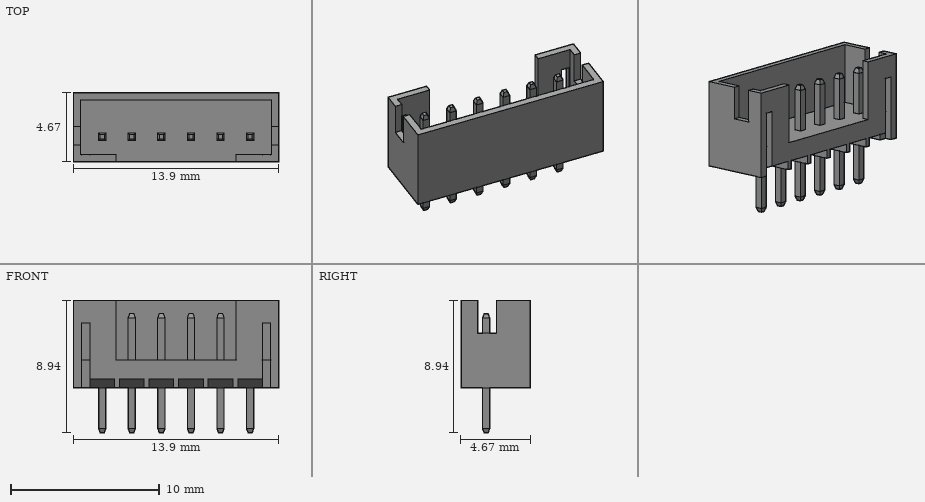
import cadquery as cq


length = 13.86
depth = 4.67
height = 5.89
wall = 0.49
floor_top = 1.87

window_margin = 2.88
side_gap_front = 1.14
side_gap_width = 1.25
side_gap_bottom = 3.69

groove_inset = 0.55
groove_top = 4.38

relief_width = 1.66
relief_height = 0.58

pin_count = 6
pitch = 2.0
pin_y = 1.69
pin_size = 0.5
tip_size = 0.28
tip_length = 0.3
pin_top = 5.0
pin_bottom = -3.05

pin_positions = [length / 2 + (i - (pin_count - 1) / 2) * pitch for i in range(pin_count)]

groove_width = pin_positions[0] - relief_width / 2 - groove_inset
groove_depth = wall

relief_depth = pin_y - pin_size / 2


def box(x_start, x_end, y_start, y_end, z_start, z_end):
    """Axis-aligned block between the given limits."""
    size = (x_end - x_start, y_end - y_start, z_end - z_start)
    return cq.Workplane("XY").box(*size, centered=False).translate((x_start, y_start, z_start))


def shroud():
    """Open-topped housing with a front window and a gap in each end wall."""
    body = box(0, length, 0, depth, 0, height)
    cavity = box(wall, length - wall, wall, depth - wall, floor_top, height)
    window = box(window_margin, length - window_margin, 0, wall, floor_top, height)
    side_gap_back = side_gap_front + side_gap_width
    side_gaps = box(0, length, side_gap_front, side_gap_back, side_gap_bottom, height)
    return body.cut(cavity).cut(window).cut(side_gaps)


def groove(x_start):
    """Vertical groove in the front face, open at the underside."""
    return box(x_start, x_start + groove_width, 0, groove_depth, 0, groove_top)


def relief(x_center):
    """Wedge under the front wall, running out at the underside."""
    return (
        cq.Workplane("YZ")
        .polyline([(0, 0), (relief_depth, 0), (0, relief_height)])
        .close()
        .extrude(relief_width / 2, both=True)
        .translate((x_center, 0, 0))
    )


def tip(x_center, z_base, rise):
    """Tapered pin end that grows from z_base by rise (negative is downwards)."""
    return (
        cq.Workplane("XY", origin=(x_center, pin_y, z_base))
        .rect(pin_size, pin_size)
        .workplane(offset=rise)
        .rect(tip_size, tip_size)
        .loft()
    )


def pin(x_center):
    """Square pin through the floor, tapered at both ends."""
    shank_bottom = pin_bottom + tip_length
    shank_top = pin_top - tip_length
    half = pin_size / 2
    shank = box(x_center - half, x_center + half, pin_y - half, pin_y + half, shank_bottom, shank_top)
    return shank.union(tip(x_center, shank_top, tip_length)).union(tip(x_center, shank_bottom, -tip_length))


result = shroud()

for groove_start in (groove_inset, length - groove_inset - groove_width):
    result = result.cut(groove(groove_start))

for x in pin_positions:
    result = result.cut(relief(x))

for x in pin_positions:
    result = result.union(pin(x))